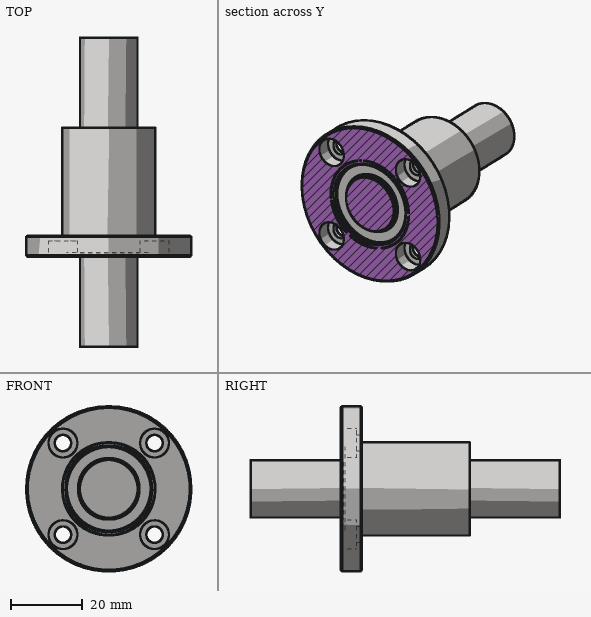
import cadquery as cq

shaft_diameter = 16.0
shaft_length = 86.0
sleeve_diameter = 26.0
sleeve_length = 36.0
sleeve_chamfer = 0.2

flange_diameter = 46.0
flange_thickness = 6.0
flange_chamfer = 0.5

seal_diameter = 23.2
seal_depth = 1.3
seal_chamfer = 0.5

lip_base_diameter = 17.2
lip_tip_diameter = 16.8
lip_height = 0.5

hole_count = 4
hole_circle_diameter = 36.0
hole_diameter = 4.5
counterbore_diameter = 8.0
counterbore_depth = 4.4
first_hole_angle = 45.0

shaft_front = -shaft_length / 2
sleeve_front = -sleeve_length / 2
seal_floor = sleeve_front + seal_depth


def plane_at(y):
    """Workplane at y along the axis, with its normal pointing to +Y."""
    return cq.Workplane("ZX", origin=(0, y, 0))


def cylinder(diameter, start, length):
    """Cylinder on the Y axis that runs from start towards +Y."""
    return plane_at(start).circle(diameter / 2).extrude(length)


def make_shaft():
    return cylinder(shaft_diameter, shaft_front, shaft_length)


def make_sleeve():
    """Bearing sleeve with both rims chamfered and the seal recess cut in its front."""
    sleeve = cylinder(sleeve_diameter, sleeve_front, sleeve_length)
    sleeve = sleeve.faces("<Y or >Y").edges().chamfer(sleeve_chamfer)
    sleeve = sleeve.cut(cylinder(seal_diameter, sleeve_front, seal_depth))
    mouth = sleeve.faces("<Y").edges(cq.selectors.RadiusNthSelector(0))
    return mouth.chamfer(seal_chamfer)


def make_seal_lip():
    """Tapered lip, widest at the recess floor."""
    tip = plane_at(seal_floor - lip_height).circle(lip_tip_diameter / 2)
    return tip.workplane(offset=lip_height).circle(lip_base_diameter / 2).loft()


def make_flange():
    """Flange ring whose bore takes the sleeve, leaving a fine groove at its chamfer."""
    flange = cylinder(flange_diameter, sleeve_front, flange_thickness)
    flange = flange.faces("<Y or >Y").edges().chamfer(flange_chamfer)
    flange = flange.cut(cylinder(sleeve_diameter, sleeve_front, flange_thickness))
    holes = (
        plane_at(sleeve_front)
        .polarArray(hole_circle_diameter / 2, first_hole_angle, 360, hole_count)
    )
    through = holes.circle(hole_diameter / 2).extrude(flange_thickness)
    counterbores = holes.circle(counterbore_diameter / 2).extrude(counterbore_depth)
    return flange.cut(through).cut(counterbores)


result = make_sleeve().union(make_flange()).union(make_seal_lip()).union(make_shaft())